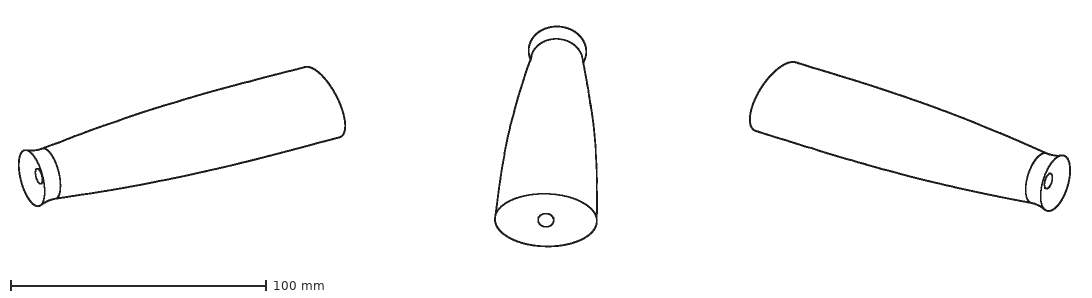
import cadquery as cq

total_length = 127.5
collar_length = 7.5
grip_length = total_length - collar_length
front_y = -total_length / 2
joint_y = front_y + collar_length

collar_radius = 10.2
grip_sections = [
    (collar_radius, collar_radius),
    (14.2, 12.4),
    (17.2, 13.3),
    (19.0, 13.0),
    (20.0, 12.1),
]

rim_radius = 11.3
waist_radius = 10.3
mouth_depth = 3.2
bore_radius = 3.0


def section_plane(y):
    """Plane across the axis at y, with its normal along +Y."""
    return cq.Plane(origin=(0, y, 0), xDir=(1, 0, 0), normal=(0, 1, 0))


def make_grip():
    """Barrel-shaped grip lofted from a circle to a wide ellipse, bored along its axis."""
    spacing = grip_length / (len(grip_sections) - 1)
    body = cq.Workplane(section_plane(joint_y))
    for index, (half_width, half_height) in enumerate(grip_sections):
        if index > 0:
            body = body.workplane(offset=spacing)
        body = body.ellipse(half_width, half_height)
    body = body.loft(combine=True)
    bore = cq.Workplane(section_plane(joint_y)).circle(bore_radius).extrude(grip_length)
    return body.cut(bore)


def make_collar():
    """Collar revolved about Y from its radial (X) half-section."""
    return (
        cq.Workplane("XY")
        .moveTo(bore_radius, joint_y)
        .lineTo(collar_radius, joint_y)
        .threePointArc((waist_radius, front_y + collar_length / 2), (rim_radius, front_y))
        .lineTo(bore_radius, front_y + mouth_depth)
        .close()
        .revolve(360, (0, 0, 0), (0, 1, 0))
    )


grip = make_grip()
collar = make_collar()

result = cq.Compound.makeCompound([grip.val(), collar.val()])